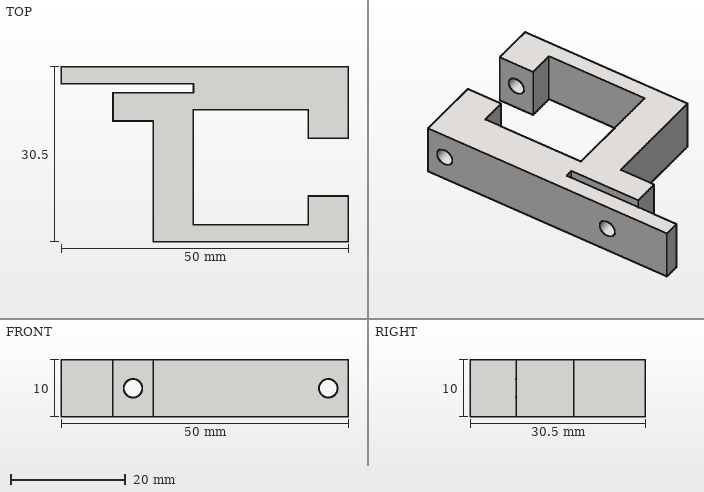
import cadquery as cq

length = 50
depth = 30.5
height = 10

window_side = 20
front_wall = 3
jaw_length = 7
jaw_gap = 10
jaw_reach = (window_side - jaw_gap) / 2
spine_width = 7
window_right = length - jaw_length
window_left = window_right - window_side
frame_left = window_left - spine_width
window_back = front_wall + window_side

strip_thickness = 3
slot_width = 1.5
lug_length = 7
lug_thickness = 5
slot_back = depth - strip_thickness
lug_back = slot_back - slot_width
lug_front = lug_back - lug_thickness
lug_left = frame_left - lug_length

hole_diameter = 3.2
hole_positions = [lug_left + lug_length / 2, length - jaw_length / 2]

profile = [
    (frame_left, 0),
    (length, 0),
    (length, front_wall + jaw_reach),
    (window_right, front_wall + jaw_reach),
    (window_right, front_wall),
    (window_left, front_wall),
    (window_left, window_back),
    (window_right, window_back),
    (window_right, window_back - jaw_reach),
    (length, window_back - jaw_reach),
    (length, depth),
    (0, depth),
    (0, slot_back),
    (window_left, slot_back),
    (window_left, lug_back),
    (lug_left, lug_back),
    (lug_left, lug_front),
    (frame_left, lug_front),
]
body = cq.Workplane("XY").polyline(profile).close().extrude(height)

for hole_x in hole_positions:
    hole = (
        cq.Workplane("XZ")
        .center(hole_x, height / 2)
        .circle(hole_diameter / 2)
        .extrude(-depth)
    )
    body = body.cut(hole)

result = body